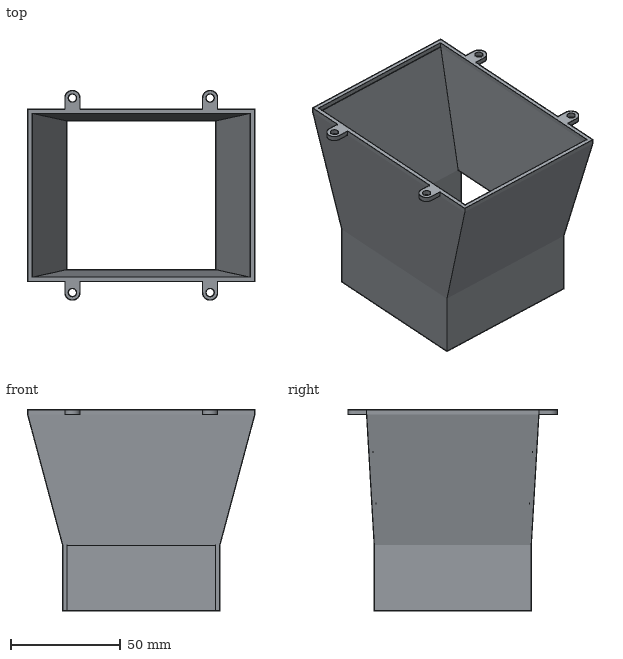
import cadquery as cq

top_length = 104.0
top_width = 78.9
throat_side = 72.0
total_height = 92.0
skirt_height = 30.0
rim_height = 2.3
wall = 2.0
rim_wall = 2.0
ledge_width = 0.2

tab_overall_width = 96.0
tab_width = 7.0
tab_spacing = 63.0
hole_diameter = 3.6

rim_bottom = total_height - rim_height
tab_radius = tab_width / 2
hole_offset = tab_overall_width / 2 - tab_radius


def frustum(length, width, side):
    """Solid taper from the square throat up to the underside of the rim."""
    return (
        cq.Workplane("XY")
        .workplane(offset=skirt_height)
        .rect(side, side)
        .workplane(offset=rim_bottom - skirt_height)
        .rect(length, width)
        .loft(ruled=True)
    )


def block(length, width, bottom, height):
    """Centred box standing on the given level."""
    return cq.Workplane("XY").workplane(offset=bottom).rect(length, width).extrude(height)


def mounting_tab(x, side):
    """Round-ended lug reaching from the rim wall outwards along Y."""
    root = top_width / 2 - rim_wall / 2
    arm_length = hole_offset - root
    base = cq.Workplane("XY").workplane(offset=rim_bottom)
    arm = base.center(x, side * (root + arm_length / 2)).rect(tab_width, arm_length).extrude(rim_height)
    end = base.center(x, side * hole_offset).circle(tab_radius).extrude(rim_height)
    hole = base.center(x, side * hole_offset).circle(hole_diameter / 2).extrude(rim_height)
    return arm.union(end).cut(hole)


throat_opening = throat_side - 2 * wall
rim_opening_length = top_length - 2 * rim_wall
rim_opening_width = top_width - 2 * rim_wall

hopper = frustum(top_length, top_width, throat_side).cut(
    frustum(rim_opening_length - 2 * ledge_width, rim_opening_width, throat_opening)
)

rim = block(top_length, top_width, rim_bottom, rim_height).cut(
    block(rim_opening_length, rim_opening_width, rim_bottom, rim_height)
)

skirt = block(throat_side, throat_side, 0, skirt_height)
skirt = skirt.cut(block(throat_opening, throat_opening, 0, skirt_height))
skirt = skirt.cut(block(throat_opening, throat_side, 0, skirt_height).translate((0, -wall, 0)))

result = hopper.union(rim).union(skirt)

for tab_x in (-tab_spacing / 2, tab_spacing / 2):
    for tab_side in (-1, 1):
        result = result.union(mounting_tab(tab_x, tab_side))